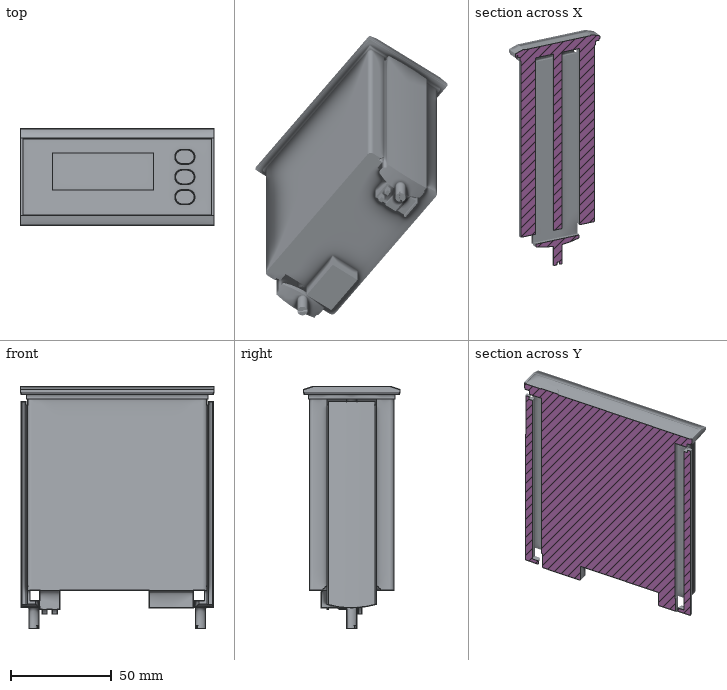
import cadquery as cq

TOTAL_HEIGHT = 120.0

BEZEL_LENGTH = 96.0
BEZEL_WIDTH = 48.0
BEZEL_BOTTOM = 116.8
BEZEL_SLOPE_WIDTH = 4.8
BEZEL_SLOPE_DROP = 1.5
STEP_BOTTOM = 115.9
STEP_INSET = 0.4
COLLAR_BOTTOM = 113.8
COLLAR_LENGTH = 90.0
COLLAR_WIDTH = 43.0

PANEL_RIM = 1.2
PANEL_RIM_WIDE = 0.4
PANEL_DEPTH = 0.4
PANEL_Z = TOTAL_HEIGHT - PANEL_DEPTH
DISPLAY_LENGTH = 50.0
DISPLAY_WIDTH = 18.4
DISPLAY_X = -7.0
DISPLAY_Y = 2.8
DISPLAY_DEPTH = 0.1
KEY_LENGTH = 10.0
KEY_WIDTH = 7.5
KEY_X = 33.5
KEY_PITCH = 10.0
KEY_COUNT = 3
KEY_HEIGHT = 0.4
KEY_SIDE_TAPER = 45.0

BODY_LENGTH = 88.8
BODY_WIDTH = 42.0
BODY_BOTTOM = 19.0
BODY_CORNER_RADIUS = 2.0
CHANNEL_WIDTH = 24.7
CHANNEL_DEPTH = 6.0
FLARE_SIZE = 2.4
FLARE_DEPTH = 1.5

CLIP_INNER_X = 43.2
CLIP_STEP_X = BODY_LENGTH / 2
CLIP_PLATE_X = 45.2
CLIP_EDGE_X = 47.2
CLIP_CROWN_X = 47.6
CLIP_PLATE_WIDTH = 23.0
CLIP_PLATE_TOP = 112.5
CLIP_BACK_TOP = 110.9
CLIP_END_Z = 12.1
CLIP_CROWN_Z = 10.3
FOOT_TOP = 13.8
FOOT_EDGE_X = 40.5
FOOT_CROWN_X = 38.3

SCREW_X = 41.3
SCREW_DIAMETER = 5.0
SLOT_WIDTH = 1.0
SLOT_DEPTH = 1.5
SLOT_ANGLE = 45.0

TERMINAL_PITCH = 5.0
TERMINAL_COUNT = 2
TERMINAL_LENGTH = TERMINAL_PITCH * TERMINAL_COUNT
TERMINAL_X = -33.5
TERMINAL_FRONT_Y = -12.4
TERMINAL_BACK_Y = 6.0
TERMINAL_BOTTOM = 9.5
TERMINAL_RECESS_Z = 11.0
TERMINAL_LIP = 0.8
TERMINAL_RIB_FRONT_Y = -6.2
TERMINAL_RIB_BACK_Y = 0.0
TERMINAL_PIN_LENGTH = 2.5
TERMINAL_PIN_WIDTH = 1.9
TERMINAL_PIN_Y = 4.1
TERMINAL_PIN_BOTTOM = 7.2

CONNECTOR_LENGTH = 22.0
CONNECTOR_X = 26.8
CONNECTOR_FRONT_Y = -15.1
CONNECTOR_BACK_Y = 0.0
CONNECTOR_BOTTOM = 10.3
CONNECTOR_CHAMFER = 0.7


def slab(length, width, bottom, top, x=0.0, y=0.0):
    """Upright block centred on (x, y) between two heights."""
    return (
        cq.Workplane("XY", origin=(x, y, bottom))
        .rect(length, width)
        .extrude(top - bottom)
    )


def make_bezel():
    half_width = BEZEL_WIDTH / 2
    crown_half_width = half_width - BEZEL_SLOPE_WIDTH
    slope_bottom = TOTAL_HEIGHT - BEZEL_SLOPE_DROP
    frame = (
        cq.Workplane("YZ", origin=(-BEZEL_LENGTH / 2, 0, 0))
        .moveTo(-half_width, BEZEL_BOTTOM)
        .lineTo(half_width, BEZEL_BOTTOM)
        .lineTo(half_width, slope_bottom)
        .lineTo(crown_half_width, TOTAL_HEIGHT)
        .lineTo(-crown_half_width, TOTAL_HEIGHT)
        .lineTo(-half_width, slope_bottom)
        .close()
        .extrude(BEZEL_LENGTH)
    )
    step = slab(
        BEZEL_LENGTH - 2 * STEP_INSET, BEZEL_WIDTH - 2 * STEP_INSET, STEP_BOTTOM, BEZEL_BOTTOM
    )
    collar = slab(COLLAR_LENGTH, COLLAR_WIDTH, COLLAR_BOTTOM, STEP_BOTTOM)
    panel = slab(
        BEZEL_LENGTH - 2 * PANEL_RIM,
        2 * (crown_half_width - PANEL_RIM_WIDE),
        PANEL_Z,
        TOTAL_HEIGHT,
    )
    display = slab(
        DISPLAY_LENGTH, DISPLAY_WIDTH, PANEL_Z - DISPLAY_DEPTH, PANEL_Z, DISPLAY_X, DISPLAY_Y
    )
    return frame.union(step).union(collar).cut(panel).cut(display).union(make_keys())


def make_keys():
    """Column of raised oblong keys with sloping sides."""
    return (
        cq.Workplane("XY", origin=(KEY_X, 0, PANEL_Z))
        .rarray(1.2, KEY_PITCH, 1, KEY_COUNT)
        .slot2D(KEY_LENGTH, KEY_WIDTH)
        .extrude(KEY_HEIGHT, taper=KEY_SIDE_TAPER)
    )


def make_body():
    body = slab(BODY_LENGTH, BODY_WIDTH, BODY_BOTTOM, COLLAR_BOTTOM)
    body = body.edges("|Z").fillet(BODY_CORNER_RADIUS)
    channel = slab(
        CHANNEL_DEPTH,
        CHANNEL_WIDTH,
        BODY_BOTTOM,
        COLLAR_BOTTOM,
        (BODY_LENGTH - CHANNEL_DEPTH) / 2,
    )
    side_cut = channel.union(make_channel_flare())
    return body.cut(side_cut).cut(side_cut.mirror("YZ"))


def make_channel_flare():
    """Lead-in at the foot of the +X channel, widening and deepening downwards."""
    outer_x = BODY_LENGTH / 2
    flare_top = BODY_BOTTOM + FLARE_SIZE
    narrow = CHANNEL_WIDTH / 2
    wide = narrow + FLARE_SIZE
    trapezoid = (
        cq.Workplane("YZ", origin=(outer_x - FLARE_DEPTH, 0, 0))
        .moveTo(-wide, BODY_BOTTOM)
        .lineTo(wide, BODY_BOTTOM)
        .lineTo(narrow, flare_top)
        .lineTo(-narrow, flare_top)
        .close()
        .extrude(FLARE_DEPTH)
    )
    wedge = (
        cq.Workplane("XZ")
        .moveTo(outer_x, flare_top)
        .lineTo(outer_x, BODY_BOTTOM)
        .lineTo(outer_x - FLARE_DEPTH, BODY_BOTTOM)
        .close()
        .extrude(wide, both=True)
    )
    return trapezoid.intersect(wedge)


def make_clip():
    """Clip for the +X side: bowed plate, stepped back and inward foot."""
    plate_half = CLIP_PLATE_WIDTH / 2
    back_half = CHANNEL_WIDTH / 2
    plate = (
        cq.Workplane("XY")
        .moveTo(CLIP_PLATE_X, -plate_half)
        .lineTo(CLIP_EDGE_X, -plate_half)
        .threePointArc((CLIP_CROWN_X, 0), (CLIP_EDGE_X, plate_half))
        .lineTo(CLIP_PLATE_X, plate_half)
        .close()
        .extrude(CLIP_PLATE_TOP)
    )
    back = (
        cq.Workplane("XY")
        .moveTo(CLIP_INNER_X, -back_half)
        .lineTo(CLIP_STEP_X, -back_half)
        .lineTo(CLIP_PLATE_X, -plate_half)
        .lineTo(CLIP_PLATE_X, plate_half)
        .lineTo(CLIP_STEP_X, back_half)
        .lineTo(CLIP_INNER_X, back_half)
        .close()
        .extrude(CLIP_BACK_TOP)
    )
    foot = (
        cq.Workplane("XY")
        .moveTo(CLIP_INNER_X, -back_half)
        .lineTo(FOOT_EDGE_X, -back_half)
        .threePointArc((FOOT_CROWN_X, 0), (FOOT_EDGE_X, back_half))
        .lineTo(CLIP_INNER_X, back_half)
        .close()
        .extrude(FOOT_TOP)
    )
    rounded_end = (
        cq.Workplane("YZ")
        .moveTo(-back_half, TOTAL_HEIGHT)
        .lineTo(-back_half, CLIP_END_Z)
        .threePointArc((0, CLIP_CROWN_Z), (back_half, CLIP_END_Z))
        .lineTo(back_half, TOTAL_HEIGHT)
        .close()
        .extrude(BEZEL_LENGTH / 2)
    )
    return plate.union(back).union(foot).intersect(rounded_end)


def make_screw():
    """Slotted clamping screw through the foot of the +X clip."""
    shank = cq.Workplane("XY").circle(SCREW_DIAMETER / 2).extrude(FOOT_TOP)
    slot = slab(2 * SCREW_DIAMETER, SLOT_WIDTH, 0, SLOT_DEPTH)
    slot = slot.rotate((0, 0, 0), (0, 0, 1), SLOT_ANGLE)
    return shank.cut(slot).translate((SCREW_X, 0, 0))


def make_channel_rib():
    """Round rib in the +X channel, in line with the screw, that carries the clip."""
    return (
        cq.Workplane("XY", origin=(SCREW_X, 0, BODY_BOTTOM))
        .circle(SCREW_DIAMETER / 2)
        .extrude(COLLAR_BOTTOM - BODY_BOTTOM)
    )


def make_terminal():
    """Two-pole terminal block with a recessed underside, seen in section along X."""
    slope = TERMINAL_RECESS_Z - TERMINAL_BOTTOM
    lip_back_y = TERMINAL_FRONT_Y + TERMINAL_LIP
    block = (
        cq.Workplane("YZ", origin=(TERMINAL_X, 0, 0))
        .moveTo(TERMINAL_FRONT_Y, BODY_BOTTOM)
        .lineTo(TERMINAL_FRONT_Y, TERMINAL_BOTTOM)
        .lineTo(lip_back_y, TERMINAL_BOTTOM)
        .lineTo(lip_back_y, TERMINAL_RECESS_Z)
        .lineTo(TERMINAL_RIB_FRONT_Y - slope, TERMINAL_RECESS_Z)
        .lineTo(TERMINAL_RIB_FRONT_Y, TERMINAL_BOTTOM)
        .lineTo(TERMINAL_RIB_BACK_Y, TERMINAL_BOTTOM)
        .lineTo(TERMINAL_RIB_BACK_Y, TERMINAL_RECESS_Z)
        .lineTo(TERMINAL_BACK_Y, TERMINAL_RECESS_Z)
        .lineTo(TERMINAL_BACK_Y, BODY_BOTTOM)
        .close()
        .extrude(TERMINAL_LENGTH / 2, both=True)
    )
    pins = (
        cq.Workplane("XY", origin=(TERMINAL_X, TERMINAL_PIN_Y, TERMINAL_PIN_BOTTOM))
        .rarray(TERMINAL_PITCH, 1.2, TERMINAL_COUNT, 1)
        .rect(TERMINAL_PIN_LENGTH, TERMINAL_PIN_WIDTH)
        .extrude(TERMINAL_RECESS_Z - TERMINAL_PIN_BOTTOM)
    )
    return block.union(pins)


def make_connector():
    block = slab(
        CONNECTOR_LENGTH,
        CONNECTOR_BACK_Y - CONNECTOR_FRONT_Y,
        CONNECTOR_BOTTOM,
        BODY_BOTTOM,
        CONNECTOR_X,
        (CONNECTOR_FRONT_Y + CONNECTOR_BACK_Y) / 2,
    )
    return block.edges(">Z and <Y").chamfer(CONNECTOR_CHAMFER)


clip_assembly = make_clip().union(make_screw()).union(make_channel_rib())

result = (
    make_bezel()
    .union(make_body())
    .union(clip_assembly)
    .union(clip_assembly.mirror("YZ"))
    .union(make_terminal())
    .union(make_connector())
)